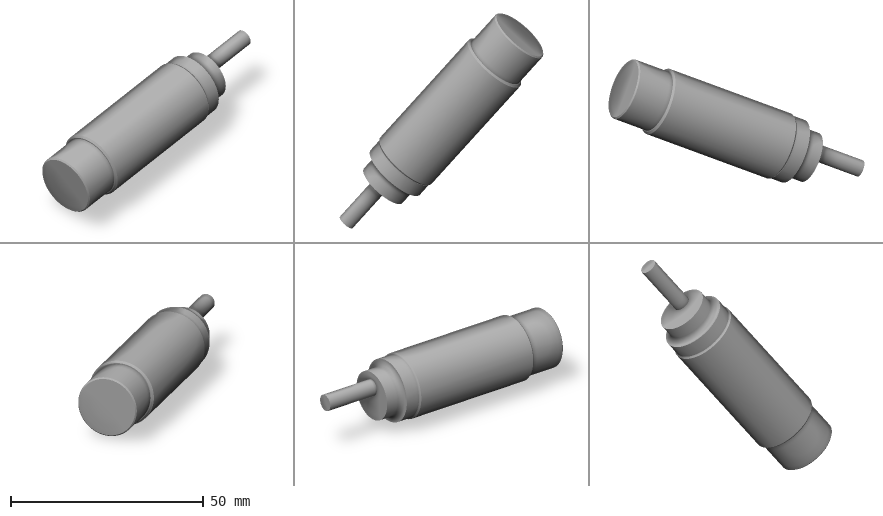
import cadquery as cq

nose_diameter = 16.4
body_diameter = 18.0
shoulder_diameter = 17.3
neck_diameter = 13.5
cable_diameter = 4.5

cable_offset = 2.5

nose_end = 9.9
body_end = 47.0
shoulder_end = 50.9
neck_end = 55.9
total_length = 70.9

nose_chamfer = 0.35
body_chamfer = 0.5
neck_fillet = 1.5


def cylinder(diameter, start, end, height=0):
    """Solid cylinder along +Y between two distances from the front face, raised by height."""
    base = cq.Workplane("XZ", origin=(0, start - total_length / 2, height))
    return base.circle(diameter / 2).extrude(start - end)


nose = cylinder(nose_diameter, 0, nose_end).faces("<Y").edges().chamfer(nose_chamfer)
body = cylinder(body_diameter, nose_end, body_end).edges("%CIRCLE").chamfer(body_chamfer)
shoulder = cylinder(shoulder_diameter, body_end, shoulder_end)
neck = cylinder(neck_diameter, shoulder_end, neck_end)
cable = cylinder(cable_diameter, neck_end, total_length, cable_offset)

rear = shoulder.union(neck)
neck_edges = rear.edges("%CIRCLE").edges(cq.selectors.RadiusNthSelector(0))
rear = neck_edges.edges("<Y").fillet(neck_fillet)

result = nose.union(body).union(rear).union(cable)